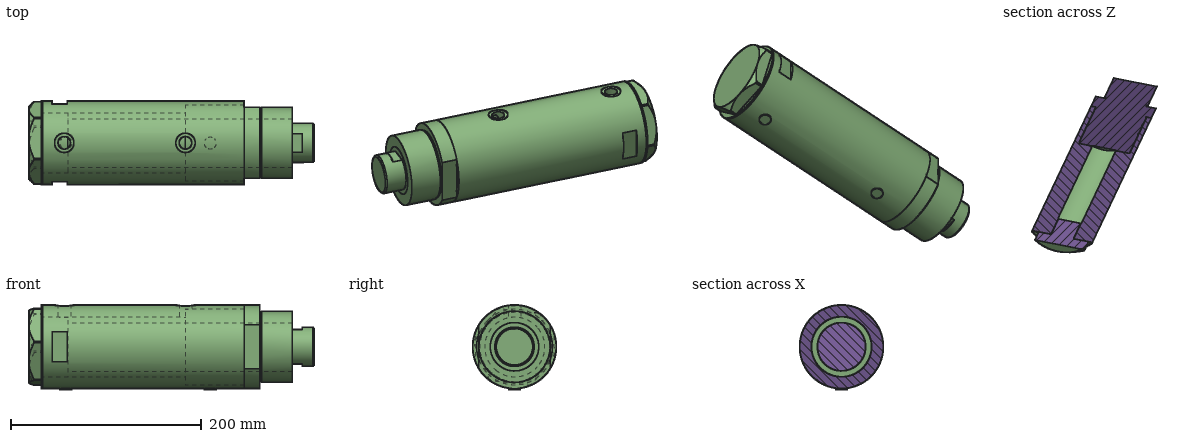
import cadquery as cq
import math


FLANGE_START = 13.0
BARREL_START = 14.7
SPIGOT_END = 40.7
HEAD_SPIGOT_START = 164.5
BARREL_END = 226.0
HEAD_FLANGE_END = 242.5
NOSE_START = 243.8
NOSE_END = 276.7
ROD_FLATS_END = 287.0
ROD_END = 299.5

BARREL_RADIUS = 44.0
BORE_RADIUS = 31.5
HEAD_SPIGOT_RADIUS = 39.8
NOSE_RADIUS = 37.5
GROOVE_RADIUS = 36.5
ROD_RADIUS = 25.5
ROD_TIP_RADIUS = 20.7

HEX_SIDES = 6
HEX_APOTHEM = 38.0
HEX_CORNER_RADIUS = 43.5
HEX_TILT = 6.8
HEAD_FLAT = 37.5
BARREL_FLAT = 41.0
ROD_FLAT = 18.3

SLOT_START = 24.5
SLOT_END = 40.0

PORT_POSITIONS = [37.0, 164.5]
PORT_RADIUS = 6.5
SPOTFACE_RADIUS = 10.2
SPOTFACE_HEIGHT = 42.8
BOSS_POSITIONS = [38.5, 190.2]
BOSS_RADIUS = 6.3
BOSS_DROP = 45.2

ROD_TIP_CHAMFER = 1.5


def cylinder(start, end, radius):
    """Round bar along X from start to end."""
    return cq.Workplane("YZ").workplane(offset=start).circle(radius).extrude(end - start)


def flat_cutters(start, end, flat, radius):
    """Two blocks that cut opposite flats, facing +Y and -Y, into a round of the given radius."""
    length = end - start
    depth = radius
    cutters = cq.Workplane()
    for side in (1, -1):
        offset = side * (flat + depth / 2)
        block = cq.Workplane().box(length, depth, 2 * radius)
        block = block.translate(((start + end) / 2, offset, 0))
        cutters = cutters.add(block)
    return cutters.combine()


def make_cap():
    """Hex cap with a round flange and a spigot that plugs the barrel bore."""
    hex_diameter = 2 * HEX_APOTHEM / math.cos(math.pi / HEX_SIDES)
    hex_head = cq.Workplane("YZ").polygon(HEX_SIDES, hex_diameter).extrude(FLANGE_START)
    hex_head = hex_head.rotate((0, 0, 0), (1, 0, 0), -HEX_TILT)
    blank = cylinder(0, FLANGE_START, HEX_CORNER_RADIUS)
    blank = blank.faces("<X").chamfer(HEX_CORNER_RADIUS - HEX_APOTHEM)
    hex_head = hex_head.intersect(blank)
    flange = cylinder(FLANGE_START, BARREL_START, BARREL_RADIUS)
    spigot = cylinder(BARREL_START, SPIGOT_END, BORE_RADIUS)
    return hex_head.union(flange).union(spigot)


def make_barrel():
    """Barrel with stepped bore, side slots, top ports and bottom bosses."""
    barrel = cylinder(BARREL_START, BARREL_END, BARREL_RADIUS)
    for x in BOSS_POSITIONS:
        boss = cq.Workplane("XY").center(x, 0).circle(BOSS_RADIUS).extrude(-BOSS_DROP)
        barrel = barrel.union(boss)
    barrel = barrel.cut(cylinder(BARREL_START, BARREL_END, BORE_RADIUS))
    barrel = barrel.cut(cylinder(HEAD_SPIGOT_START, BARREL_END, HEAD_SPIGOT_RADIUS))
    barrel = barrel.cut(flat_cutters(SLOT_START, SLOT_END, BARREL_FLAT, BARREL_RADIUS))
    for x in PORT_POSITIONS:
        port = cq.Workplane("XY").center(x, 0).circle(PORT_RADIUS).extrude(BARREL_RADIUS)
        seat = cq.Workplane("XY").workplane(offset=SPOTFACE_HEIGHT).center(x, 0)
        seat = seat.circle(SPOTFACE_RADIUS).extrude(BARREL_RADIUS - SPOTFACE_HEIGHT)
        barrel = barrel.cut(port).cut(seat)
    return barrel


def make_head():
    """Head with a spigot inside the barrel, a flange with two flats, a groove and a bevelled nose."""
    flange = cylinder(BARREL_END, HEAD_FLANGE_END, BARREL_RADIUS)
    flange = flange.cut(flat_cutters(BARREL_END, HEAD_FLANGE_END, HEAD_FLAT, BARREL_RADIUS))
    head = cylinder(HEAD_SPIGOT_START, BARREL_END, HEAD_SPIGOT_RADIUS)
    head = head.union(flange)
    head = head.union(cylinder(HEAD_FLANGE_END, NOSE_START, GROOVE_RADIUS))
    nose = cylinder(NOSE_START, NOSE_END, NOSE_RADIUS)
    nose = nose.faces("<X").chamfer(NOSE_RADIUS - GROOVE_RADIUS)
    head = head.union(nose)
    return head.cut(cylinder(HEAD_SPIGOT_START, NOSE_END, ROD_RADIUS))


def make_rod():
    """Rod with a thinner, chamfered tip that has two wrench flats behind its end."""
    tip = cylinder(NOSE_END, ROD_END, ROD_TIP_RADIUS)
    tip = tip.faces(">X").chamfer(ROD_TIP_CHAMFER)
    flats = flat_cutters(NOSE_END, ROD_FLATS_END, ROD_FLAT, ROD_TIP_RADIUS)
    tip = tip.cut(flats.rotate((0, 0, 0), (1, 0, 0), 90))
    return cylinder(SPIGOT_END, NOSE_END, ROD_RADIUS).union(tip)


cap = make_cap()
barrel = make_barrel()
head = make_head()
rod = make_rod()

result = cq.Compound.makeCompound([body.solids().val() for body in (cap, barrel, head, rod)])